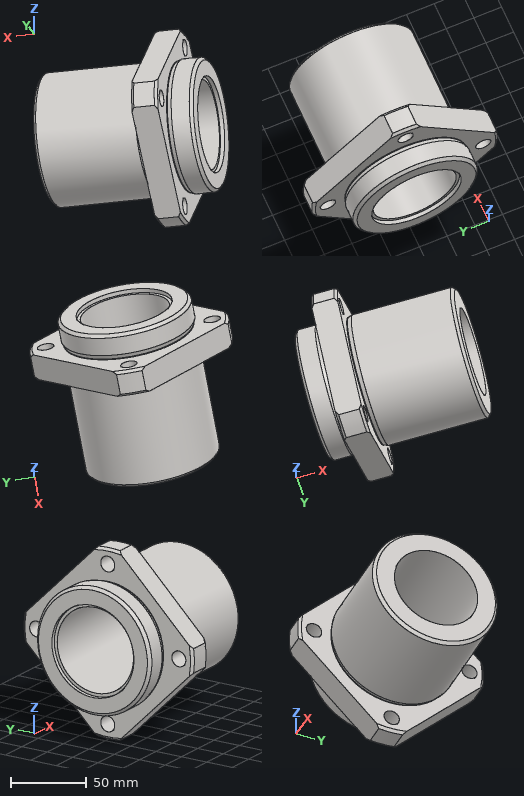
import cadquery as cq

length = 110.0
body_radius = 90.0 / 2
end_chamfer = 2.1
bore_diameter = 60.0
recess_diameter = 64.5
recess_depth = 3.0

flange_front = 18.1
flange_thickness = 18.0
flange_back = flange_front + flange_thickness
flange_diameter = 133.9
flange_across_flats = 106.0
flange_chamfer = 1.9

relief_depth = 1.1
relief_length = 3.5
relief_land = 0.5

hole_count = 4
hole_diameter = 11.0
hole_circle_radius = 56.0


def make_sleeve():
    """Revolve the solid sleeve with chamfered ends and both reliefs."""
    relief_radius = body_radius - relief_depth
    return (
        cq.Workplane("XY")
        .moveTo(0, 0)
        .lineTo(0, body_radius - end_chamfer)
        .lineTo(end_chamfer, body_radius)
        .lineTo(flange_front - relief_length, body_radius)
        .lineTo(flange_front - relief_land, relief_radius)
        .lineTo(flange_back + relief_land, relief_radius)
        .lineTo(flange_back + relief_length, body_radius)
        .lineTo(length - end_chamfer, body_radius)
        .lineTo(length, body_radius - end_chamfer)
        .lineTo(length, 0)
        .close()
        .revolve(360, (0, 0), (1, 0))
    )


def make_flange():
    """Intersect a chamfered disc with a square standing on its corner."""
    plane = cq.Workplane("YZ", origin=(flange_front, 0, 0))
    disc = plane.circle(flange_diameter / 2).extrude(flange_thickness).edges().chamfer(flange_chamfer)
    square = (
        plane.transformed(rotate=(0, 0, 45))
        .rect(flange_across_flats, flange_across_flats)
        .extrude(flange_thickness)
    )
    holes = (
        plane.polarArray(hole_circle_radius, 0, 360, hole_count)
        .circle(hole_diameter / 2)
        .extrude(flange_thickness)
    )
    return disc.intersect(square).cut(holes)


bore = cq.Workplane("YZ").circle(bore_diameter / 2).extrude(length)
recess = cq.Workplane("YZ").circle(recess_diameter / 2).extrude(recess_depth)

result = make_sleeve().union(make_flange()).cut(bore).cut(recess)